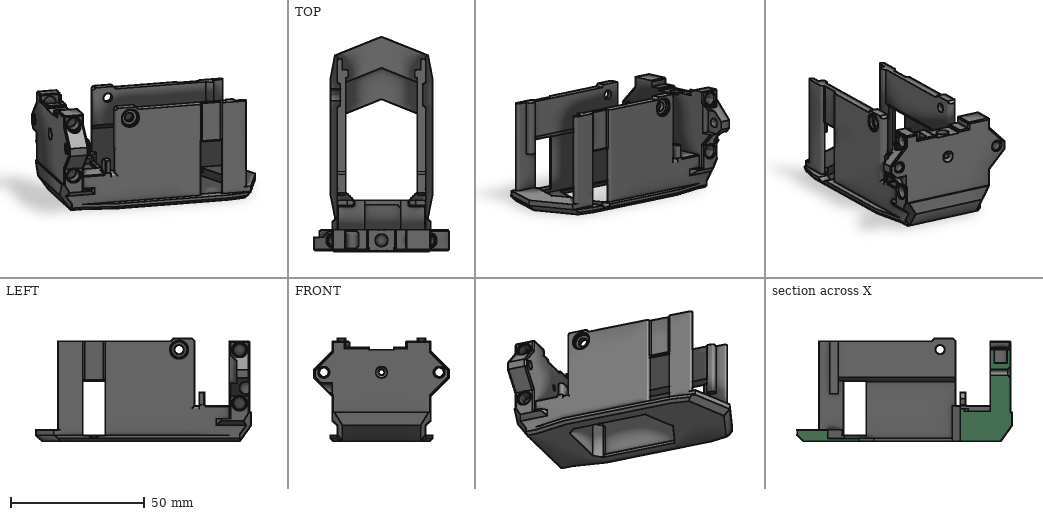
import cadquery as cq
import math

LENGTH = 80.81
TOTAL_HEIGHT = 38.63
WIDTH = 50.84
WALL_TOP = 37.63
MARGIN = 5.0
PICK_MARGIN = 0.1

FLOOR_THICKNESS = 2.26
FLOOR_HALF_WIDTH = 19.15
TAPER_FRONT_Y = 21.3
TAPER_BACK_Y = 65.3
TAPER_SLOPE = 0.198
FLOOR_FRONT_Y = 6.0
BACK_CORNER_X = 17.5
CHEVRON_SLOPE = 0.4
CHEVRON_STEP = 11.75
CHEVRON_TOP = 4.25
SIDE_BEVEL = 1.1
OPENING_HALF_WIDTH = 13.33
GROOVE_DIAMETER = 6.09
GROOVE_DEPTH = 0.95
GROOVE_Y = 59.0
INNER_FLOOR_TOP = 1.1

WALL_OUTER_X = 16.6
WALL_INNER_X = OPENING_HALF_WIDTH
END_POST_INNER_X = 14.65
WALL_LOWER_INNER_X = 15.1
WALL_STEP_Z = 24.1
WALL_FRONT_Y = 21.25
WALL_BACK_Y = 72.55
WALL_END_RADIUS = 1.05
END_POST_RADIUS = 0.95
RIB_INNER_X = 12.4
RIB_FRONT_Y = 65.35
RIB_BACK_Y = 68.45
RIB_BOTTOM_Z = 17.9
RIB_RADIUS = 0.9
WINDOW_FRONT_Y = 54.8
WINDOW_BACK_Y = 63.2
WINDOW_TOP_Z = 22.4
RECESS_DEPTH = 1.15
RECESS_EDGE_RADIUS = 0.9
FILLET_SLACK = 0.01
RECESS_CORNER_RUN = 0.75
WINDOW_LIP_CHAMFER = 0.65
EAR_FRONT_Y = 22.25
EAR_BACK_Y = 29.15
SCREW_Y = 27.05
SCREW_Z = 34.4
SCREW_DIAMETER = 3.4
SCREW_HEAD_DIAMETER = 6.0
SCREW_HEAD_DEPTH = 1.5
SCREW_HEAD_CHAMFER = 0.45

BASE_TOP = 13.3
BASE_BACK_Y = 19.5
BASE_EDGE_CHAMFER = 0.4
POST_TOP = 18.4
POST_FRONT_Y = 17.45
POST_INNER_X = 10.4
POST_RAMP_X = 12.9
POST_RADIUS = 1.0
GUSSET_REACH = 2.9
BASE_RECESS_LEFT_X = -6.24
BASE_RECESS_RIGHT_X = 7.3
BASE_RECESS_STEP_Y = 17.8
BASE_RECESS_STEP = 1.0
BASE_RECESS_CORNER = 1.4

PLATE_FRONT_Y = 0.55
PLATE_BACK_Y = 8.3
PLATE_HALF_WIDTH = 18.55
PLATE_EDGE_CHAMFER = 0.5
PLATE_BACK_CHAMFER = 0.6
PLATE_TOP_CHAMFER = 0.45
WING_CENTRE_Z = 25.35
WING_TIP_HALF_HEIGHT = 1.5
WING_REACH = WIDTH / 2 - PLATE_HALF_WIDTH
NOTCH_FLOOR_Z = 35.3
NOTCH_LEFT_X = -13.4
NOTCH_RIGHT_X = 9.1
CHANNEL_FLOOR_Z = 34.4
CHANNEL_HALF_WIDTH = 5.05
CHANNEL_EDGE_CHAMFER = 0.45
CHANNEL_MOUTH_HALF_WIDTH = 4.6
CHANNEL_MOUTH_Y = 1.5

WING_HOLE_X = 21.63
PLATE_HOLE_Z = 25.9
WING_HOLE_DIAMETER = 3.4
WING_HOLE_CHAMFER = 0.45
CENTRE_HOLE_DIAMETER = 2.09
CENTRE_SINK_DIAMETER = 4.3

MAGNET_DIAMETER = 4.7
MAGNET_Y = 4.35
MAGNET_DEPTH = 5.0
MAGNET_CHAMFER = 0.5
MAGNET_HEIGHTS = (14.3, 34.3)
WING_NOTCH_Y = 2.0
WING_NOTCH_Z = 20.05

RELIEF_Y = 5.45
RELIEF_FLOOR_Z = 21.8
RELIEF_TOP_Z = 30.2
WELL_LEFT_X = -13.4
WELL_RIGHT_X = -8.6
WELL_FRONT_Y = 1.4
WELL_BACK_Y = 7.8
WELL_FLOOR_Z = 30.5
WELL_CORNER_CHAMFER = 0.8
RIM_RIGHT_X = -12.0
RIM_TOP_Z = 37.2

NOSE_TOP = 10.87
NOSE_KNEE_Z = 5.95
NOSE_TOE_Y = 4.25
NOSE_TOP_CUT = 0.9
NOSE_KNEE_CUT = 3.85
BRACKET_RAMP_TOP_Z = 7.75
BRACKET_TOP_Z = 8.4
BRACKET_BACK_Y = 13.15
BRACKET_OVERLAP = 1.0


def box(x_range, y_range, z_range):
    """Axis-aligned box between the given limits."""
    size = [limits[1] - limits[0] for limits in (x_range, y_range, z_range)]
    corner = (x_range[0], y_range[0], z_range[0])
    return cq.Workplane("XY").box(*size, centered=False).translate(corner)


def plan_prism(points, bottom, top):
    """Plan outline extruded between two heights."""
    return cq.Workplane("XY").workplane(offset=bottom).polyline(points).close().extrude(top - bottom)


def front_prism(points, front, back):
    """Outline in X and Z extruded from the front station to the back station."""
    return cq.Workplane("XZ", origin=(0, front, 0)).polyline(points).close().extrude(front - back)


def side_prism(points, left, right):
    """Outline in Y and Z extruded from left to right."""
    return cq.Workplane("YZ", origin=(left, 0, 0)).polyline(points).close().extrude(right - left)


def mirrored(points):
    """Outline closed by the mirror image of its right half."""
    return points + [(-x, other) for x, other in reversed(points) if x != 0]


def both_sides(shape):
    """The shape together with its mirror image across X = 0."""
    return shape.union(shape.mirror("YZ"))


def cylinder(start, direction, diameter, length):
    """Cylinder from a start point along a direction."""
    solid = cq.Solid.makeCylinder(diameter / 2, length, cq.Vector(*start), cq.Vector(*direction))
    return cq.Workplane(obj=solid)


def cone(start, direction, start_diameter, end_diameter):
    """45 degree cone narrowing from the start point along a direction."""
    depth = (start_diameter - end_diameter) / 2
    solid = cq.Solid.makeCone(
        start_diameter / 2, end_diameter / 2, depth, cq.Vector(*start), cq.Vector(*direction)
    )
    return cq.Workplane(obj=solid)


def underside_bevel(start, end, leg):
    """45 degree cutter along a bottom edge; the part lies to the left of start -> end."""
    run = (end[0] - start[0], end[1] - start[1])
    length = math.hypot(*run)
    direction = (run[0] / length, run[1] / length, 0)
    outward = (direction[1], -direction[0], 0)
    origin = (start[0] - MARGIN * direction[0], start[1] - MARGIN * direction[1], 0)
    plane = cq.Plane(origin=origin, xDir=outward, normal=direction)
    up = 1 if plane.yDir.z > 0 else -1
    outline = [(-leg - MARGIN, -up * MARGIN), (MARGIN, up * (leg + MARGIN)), (MARGIN, -up * MARGIN)]
    return cq.Workplane(plane).polyline(outline).close().extrude(length + 2 * MARGIN)


def chevron_band(front_apex, back_apex, half_width):
    """Plan outline of a band between two parallel chevrons."""
    drop = CHEVRON_SLOPE * half_width
    return [
        (0, back_apex),
        (half_width, back_apex - drop),
        (half_width, front_apex - drop),
        (0, front_apex),
        (-half_width, front_apex - drop),
        (-half_width, back_apex - drop),
    ]


def make_floor():
    """Tray floor with a pointed back, bevelled underside and raised chevron."""
    front_half = FLOOR_HALF_WIDTH - TAPER_SLOPE * (TAPER_FRONT_Y - FLOOR_FRONT_Y)
    back_corner = (BACK_CORNER_X, LENGTH - CHEVRON_SLOPE * BACK_CORNER_X)
    right_side = [
        (front_half, FLOOR_FRONT_Y),
        (FLOOR_HALF_WIDTH, TAPER_FRONT_Y),
        (FLOOR_HALF_WIDTH, TAPER_BACK_Y),
        back_corner,
        (0, LENGTH),
    ]
    floor = plan_prism(mirrored(right_side), 0, FLOOR_THICKNESS)
    step_apex = LENGTH - CHEVRON_STEP
    front_apex = step_apex - CHEVRON_STEP
    raised = chevron_band(step_apex, LENGTH, WALL_OUTER_X)
    floor = floor.union(plan_prism(raised, FLOOR_THICKNESS, CHEVRON_TOP))

    for start, end in zip(right_side, right_side[1:]):
        leg = FLOOR_THICKNESS if end[0] == 0 else SIDE_BEVEL
        floor = floor.cut(both_sides(underside_bevel(start, end, leg)))

    opening = [
        (OPENING_HALF_WIDTH, BASE_BACK_Y),
        (OPENING_HALF_WIDTH, front_apex - CHEVRON_SLOPE * OPENING_HALF_WIDTH),
        (0, front_apex),
    ]
    floor = floor.cut(plan_prism(mirrored(opening), -MARGIN, TOTAL_HEIGHT))

    sunken = [
        (WALL_LOWER_INNER_X, BASE_BACK_Y),
        (WALL_LOWER_INNER_X, step_apex - CHEVRON_SLOPE * WALL_LOWER_INNER_X),
        (0, step_apex),
    ]
    floor = floor.cut(plan_prism(mirrored(sunken), INNER_FLOOR_TOP, FLOOR_THICKNESS))
    sill_y = (WINDOW_FRONT_Y, WINDOW_BACK_Y + RECESS_EDGE_RADIUS)
    sill = box((WALL_INNER_X, WIDTH), sill_y, (FLOOR_THICKNESS, TOTAL_HEIGHT))
    floor = floor.cut(both_sides(sill))

    groove_z = FLOOR_THICKNESS - GROOVE_DEPTH + GROOVE_DIAMETER / 2
    groove_start = (-WIDTH / 2, GROOVE_Y, groove_z)
    groove = cylinder(groove_start, (1, 0, 0), GROOVE_DIAMETER, WIDTH / 2)
    return floor.cut(groove)


def make_right_wall():
    """Right side wall with its end post, rib, recess, window, ear and screw hole."""
    upper = box((WALL_INNER_X, WALL_OUTER_X), (WALL_FRONT_Y, RIB_BACK_Y), (FLOOR_THICKNESS, TOTAL_HEIGHT))
    lower_inset = WALL_LOWER_INNER_X - WALL_INNER_X
    relief = [
        (WALL_INNER_X - MARGIN, 0),
        (WALL_LOWER_INNER_X, 0),
        (WALL_LOWER_INNER_X, WALL_STEP_Z - lower_inset),
        (WALL_INNER_X, WALL_STEP_Z),
        (WALL_INNER_X - MARGIN, WALL_STEP_Z),
    ]
    upper = upper.edges("|Z and <Y").fillet(WALL_END_RADIUS)
    upper = upper.cut(front_prism(relief, 0, LENGTH))

    post_y = (WINDOW_BACK_Y, WALL_BACK_Y)
    end_post = box((END_POST_INNER_X, WALL_OUTER_X), post_y, (INNER_FLOOR_TOP, WALL_TOP))
    end_post = end_post.edges("|Z and >Y").fillet(END_POST_RADIUS)
    end_post = end_post.edges("|Z and <Y and <X").fillet(END_POST_RADIUS)
    rib = box((RIB_INNER_X, END_POST_INNER_X), (RIB_FRONT_Y, RIB_BACK_Y), (RIB_BOTTOM_Z, WALL_TOP))
    rib = rib.edges("|Z and <X").fillet(RIB_RADIUS)
    wall = upper.union(end_post).union(rib)

    ear_rise = TOTAL_HEIGHT - WALL_TOP
    skyline = [
        (WALL_FRONT_Y, 0),
        (WALL_FRONT_Y, WALL_TOP),
        (EAR_FRONT_Y, TOTAL_HEIGHT),
        (EAR_BACK_Y, TOTAL_HEIGHT),
        (EAR_BACK_Y + ear_rise, WALL_TOP),
        (WALL_BACK_Y, WALL_TOP),
        (WALL_BACK_Y, 0),
    ]
    wall = wall.intersect(side_prism(skyline, 0, WIDTH))

    recess_x = WALL_OUTER_X - RECESS_DEPTH
    recess_y = (WINDOW_FRONT_Y, WINDOW_BACK_Y)
    step_x = WALL_OUTER_X - RECESS_EDGE_RADIUS
    recess = [
        (WIDTH, WINDOW_FRONT_Y),
        (step_x, WINDOW_FRONT_Y),
        (recess_x, WINDOW_FRONT_Y + RECESS_CORNER_RUN),
        (recess_x, WINDOW_BACK_Y - RECESS_CORNER_RUN),
        (step_x, WINDOW_BACK_Y),
        (WIDTH, WINDOW_BACK_Y),
    ]
    wall = wall.cut(plan_prism(recess, FLOOR_THICKNESS, TOTAL_HEIGHT))
    for station in recess_y:
        corner = cq.selectors.BoxSelector(
            (WALL_OUTER_X - PICK_MARGIN, station - PICK_MARGIN, FLOOR_THICKNESS),
            (WALL_OUTER_X + PICK_MARGIN, station + PICK_MARGIN, TOTAL_HEIGHT),
        )
        wall = wall.edges(corner).edges("|Z").fillet(RECESS_EDGE_RADIUS - FILLET_SLACK)
    window = box((0, WIDTH), recess_y, (FLOOR_THICKNESS, WINDOW_TOP_Z))
    lip = [
        (recess_x - WINDOW_LIP_CHAMFER, WINDOW_TOP_Z),
        (WALL_OUTER_X, WINDOW_TOP_Z + WINDOW_LIP_CHAMFER + RECESS_DEPTH),
        (WALL_OUTER_X, WINDOW_TOP_Z),
    ]
    wall = wall.cut(window).cut(front_prism(lip, *recess_y))

    inward = (-1, 0, 0)
    head_start = (WALL_OUTER_X, SCREW_Y, SCREW_Z)
    rim_diameter = SCREW_HEAD_DIAMETER + 2 * SCREW_HEAD_CHAMFER
    wall = wall.cut(cylinder(head_start, inward, SCREW_DIAMETER, WALL_OUTER_X))
    wall = wall.cut(cylinder(head_start, inward, SCREW_HEAD_DIAMETER, SCREW_HEAD_DEPTH))
    return wall.cut(cone(head_start, inward, rim_diameter, SCREW_HEAD_DIAMETER))


def make_right_post():
    """Right post on the base with a ramped, rounded inner end, and the gusset behind it."""
    post = box((POST_INNER_X, WALL_OUTER_X), (POST_FRONT_Y, BASE_BACK_Y), (0, POST_TOP))
    post = post.edges("|Z and <X").fillet(POST_RADIUS)
    post = post.edges("|Z and >X and >Y").fillet(WALL_END_RADIUS)
    post = post.edges("|Z and >X and <Y").chamfer(BASE_EDGE_CHAMFER)
    ramp_run = POST_RAMP_X - POST_INNER_X
    ramp = [(POST_RAMP_X, POST_TOP), (POST_INNER_X, POST_TOP - ramp_run), (POST_INNER_X, POST_TOP)]
    post = post.cut(front_prism(ramp, 0, LENGTH))
    gusset_plan = [
        (WALL_INNER_X - GUSSET_REACH, BASE_BACK_Y),
        (WALL_INNER_X, BASE_BACK_Y + GUSSET_REACH),
        (WALL_OUTER_X, BASE_BACK_Y + GUSSET_REACH),
        (WALL_OUTER_X, BASE_BACK_Y),
    ]
    gusset = plan_prism(gusset_plan, 0, BASE_TOP).edges(">X and >Z").fillet(WALL_END_RADIUS)
    foot_block = box(
        (POST_INNER_X - BASE_EDGE_CHAMFER, WALL_OUTER_X),
        (POST_FRONT_Y - BASE_EDGE_CHAMFER, BASE_BACK_Y),
        (BASE_TOP - BASE_EDGE_CHAMFER, BASE_TOP + BASE_EDGE_CHAMFER),
    )
    foot = foot_block.edges("|Z and <X").fillet(POST_RADIUS)
    foot = foot.edges(">Z").edges("<X or <Y").chamfer(BASE_EDGE_CHAMFER - FILLET_SLACK)
    return post.union(gusset).union(foot)


def make_base():
    """Block joining the walls to the nose, with a shallow recess in its top."""
    base = box((-WALL_OUTER_X, WALL_OUTER_X), (NOSE_TOE_Y, BASE_BACK_Y), (0, BASE_TOP))
    base = base.intersect(make_nose_profile(BASE_TOP, BASE_BACK_Y))
    base = base.edges("|Y and >Z").chamfer(BASE_EDGE_CHAMFER)
    recess_x = (BASE_RECESS_LEFT_X, BASE_RECESS_RIGHT_X)
    step_z = BASE_TOP - BASE_RECESS_STEP
    base = base.cut(box(recess_x, (PLATE_BACK_Y, BASE_BACK_Y), (step_z, BASE_TOP)))
    deep = [
        (BASE_RECESS_LEFT_X, PLATE_BACK_Y),
        (BASE_RECESS_RIGHT_X, PLATE_BACK_Y),
        (BASE_RECESS_RIGHT_X, BASE_RECESS_STEP_Y - BASE_RECESS_CORNER),
        (BASE_RECESS_RIGHT_X - BASE_RECESS_CORNER, BASE_RECESS_STEP_Y),
        (BASE_RECESS_LEFT_X, BASE_RECESS_STEP_Y),
    ]
    return base.cut(plan_prism(deep, step_z - BASE_RECESS_STEP, step_z))


def make_nose_profile(top, back):
    """Side profile of the nose, full width, up to the given top and back."""
    profile = [(0, top), (0, NOSE_KNEE_Z), (NOSE_TOE_Y, 0), (back, 0), (back, top)]
    return side_prism(profile, -PLATE_HALF_WIDTH, PLATE_HALF_WIDTH)


def corner_triangle(y, z, cut):
    """Plan triangle whose long side crosses the right nose corner at 45 degrees."""
    edge = PLATE_HALF_WIDTH - cut
    outer = PLATE_HALF_WIDTH + MARGIN
    corners = [(edge - MARGIN, y - MARGIN), (outer, y + cut + MARGIN), (outer, y - MARGIN)]
    return cq.Wire.makePolygon([cq.Vector(a, b, z) for a, b in corners], close=True)


def make_nose():
    """Nose under the plate, with slanted corners and narrowed lower sides."""
    half_section = [
        (WALL_OUTER_X, 0),
        (WALL_OUTER_X, NOSE_KNEE_Z),
        (PLATE_HALF_WIDTH, BRACKET_RAMP_TOP_Z),
        (PLATE_HALF_WIDTH, NOSE_TOP),
    ]
    nose = front_prism(mirrored(half_section), 0, PLATE_BACK_Y)
    nose = nose.intersect(make_nose_profile(NOSE_TOP, PLATE_BACK_Y))
    top = corner_triangle(0, NOSE_TOP, NOSE_TOP_CUT)
    knee = corner_triangle(0, NOSE_KNEE_Z, NOSE_KNEE_CUT)
    toe = corner_triangle(NOSE_TOE_Y, 0, NOSE_KNEE_CUT)
    for upper, lower in ((top, knee), (knee, toe)):
        corner_cut = cq.Workplane(obj=cq.Solid.makeLoft([upper, lower], True))
        nose = nose.cut(both_sides(corner_cut))
    for side in ("<X", ">X"):
        nose = nose.edges(side).edges(">Y").edges("|Z").chamfer(PLATE_BACK_CHAMFER)
    return nose


def make_right_bracket():
    """Right bracket that carries the plate's full width back along the base."""
    section = [
        (0, NOSE_KNEE_Z),
        (WALL_OUTER_X, NOSE_KNEE_Z),
        (PLATE_HALF_WIDTH, BRACKET_RAMP_TOP_Z),
        (PLATE_HALF_WIDTH, BRACKET_TOP_Z),
        (0, BRACKET_TOP_Z),
    ]
    overhang = PLATE_HALF_WIDTH - WALL_OUTER_X
    plan = [
        (0, PLATE_BACK_Y - BRACKET_OVERLAP),
        (PLATE_HALF_WIDTH, PLATE_BACK_Y - BRACKET_OVERLAP),
        (PLATE_HALF_WIDTH, BRACKET_BACK_Y - overhang),
        (WALL_OUTER_X, BRACKET_BACK_Y),
        (0, BRACKET_BACK_Y),
    ]
    return front_prism(section, 0, LENGTH).intersect(plan_prism(plan, 0, BASE_TOP))


def make_plate_blank():
    """Winged front plate with its notched top and bevelled rims."""
    wing_root = WING_REACH + WING_TIP_HALF_HEIGHT
    right_side = [
        (PLATE_HALF_WIDTH, NOSE_TOP),
        (PLATE_HALF_WIDTH, WING_CENTRE_Z - wing_root),
        (WIDTH / 2, WING_CENTRE_Z - WING_TIP_HALF_HEIGHT),
        (WIDTH / 2, WING_CENTRE_Z + WING_TIP_HALF_HEIGHT),
        (PLATE_HALF_WIDTH, WING_CENTRE_Z + wing_root),
        (PLATE_HALF_WIDTH, WALL_TOP),
    ]
    left_side = [(-x, z) for x, z in reversed(right_side)]
    notch = [
        (NOTCH_RIGHT_X, WALL_TOP),
        (NOTCH_RIGHT_X, NOTCH_FLOOR_Z),
        (NOTCH_LEFT_X, NOTCH_FLOOR_Z),
        (NOTCH_LEFT_X, WALL_TOP),
    ]
    plate = front_prism(right_side + notch + left_side, PLATE_FRONT_Y, PLATE_BACK_Y)
    above_nose = cq.selectors.BoxSelector(
        (-WIDTH, -MARGIN, NOSE_TOP + PICK_MARGIN), (WIDTH, LENGTH, TOTAL_HEIGHT)
    )
    plate = plate.edges("|Y").edges(">Z").chamfer(PLATE_TOP_CHAMFER)
    plate = plate.faces("<Y").edges(above_nose).chamfer(PLATE_EDGE_CHAMFER)
    for side in (-1, 1):
        inner, outer = sorted((side * (PLATE_HALF_WIDTH - PICK_MARGIN), side * WIDTH))
        flank = cq.selectors.BoxSelector((inner, 0, 0), (outer, LENGTH, TOTAL_HEIGHT))
        plate = plate.faces(">Y").edges(flank).chamfer(PLATE_BACK_CHAMFER)
    return plate


def cut_plate_top(part):
    """Centre channel and small left well in the top of the plate."""
    span = (CHANNEL_FLOOR_Z, TOTAL_HEIGHT)
    mouth_x = (-CHANNEL_MOUTH_HALF_WIDTH, CHANNEL_MOUTH_HALF_WIDTH)
    shoulder_z = NOTCH_FLOOR_Z - CHANNEL_EDGE_CHAMFER
    half_section = [
        (0, CHANNEL_FLOOR_Z),
        (CHANNEL_HALF_WIDTH, CHANNEL_FLOOR_Z),
        (CHANNEL_HALF_WIDTH, shoulder_z),
        (CHANNEL_HALF_WIDTH + CHANNEL_EDGE_CHAMFER, NOTCH_FLOOR_Z),
        (0, NOTCH_FLOOR_Z),
    ]
    channel = front_prism(half_section, CHANNEL_MOUTH_Y, PLATE_BACK_Y)
    part = part.cut(both_sides(channel))
    part = part.cut(box(mouth_x, (0, CHANNEL_MOUTH_Y), span))
    well = box(
        (WELL_LEFT_X, WELL_RIGHT_X),
        (WELL_FRONT_Y, WELL_BACK_Y),
        (WELL_FLOOR_Z, TOTAL_HEIGHT),
    )
    part = part.cut(well.edges("|Z and >X").chamfer(WELL_CORNER_CHAMFER))
    rim_x = (NOTCH_LEFT_X, RIM_RIGHT_X)
    return part.union(box(rim_x, (WELL_BACK_Y, PLATE_BACK_Y), (NOTCH_FLOOR_Z, RIM_TOP_Z)))


def cut_plate_holes(part):
    """Front screw holes, magnet holes and the left wing's notch and relief."""
    rearward = (0, 1, 0)
    rim_diameter = WING_HOLE_DIAMETER + 2 * WING_HOLE_CHAMFER
    for x in (-WING_HOLE_X, WING_HOLE_X):
        start = (x, PLATE_FRONT_Y, PLATE_HOLE_Z)
        part = part.cut(cylinder(start, rearward, WING_HOLE_DIAMETER, PLATE_BACK_Y))
        part = part.cut(cone(start, rearward, rim_diameter, WING_HOLE_DIAMETER))
    centre = (0, PLATE_FRONT_Y, PLATE_HOLE_Z)
    part = part.cut(cylinder(centre, rearward, CENTRE_HOLE_DIAMETER, PLATE_BACK_Y))
    part = part.cut(cone(centre, rearward, CENTRE_SINK_DIAMETER, CENTRE_HOLE_DIAMETER))

    top_centre = (0, MAGNET_Y, CHANNEL_FLOOR_Z)
    part = part.cut(cylinder(top_centre, (0, 0, -1), MAGNET_DIAMETER, MAGNET_DEPTH))
    skin_z = WING_CENTRE_Z + WING_TIP_HALF_HEIGHT - MAGNET_CHAMFER
    skin_outline = [
        (PLATE_HALF_WIDTH, skin_z + WING_REACH),
        (WIDTH / 2, skin_z),
        (WIDTH / 2, WALL_TOP),
        (PLATE_HALF_WIDTH, WALL_TOP),
    ]
    wing_skin = front_prism(skin_outline, PLATE_FRONT_Y, PLATE_BACK_Y)
    mouth_diameter = MAGNET_DIAMETER + 2 * MAGNET_CHAMFER
    for side in (-1, 1):
        for z in MAGNET_HEIGHTS:
            start = (side * PLATE_HALF_WIDTH, MAGNET_Y, z)
            part = part.cut(cylinder(start, (-side, 0, 0), MAGNET_DIAMETER, MAGNET_DEPTH))
            part = part.cut(cone(start, (-side, 0, 0), mouth_diameter, MAGNET_DIAMETER))
            part = part.cut(cylinder(start, (side, 0, 0), MAGNET_DIAMETER, WING_REACH))
            rim = cylinder(start, (side, 0, 0), mouth_diameter, WING_REACH)
            part = part.cut(rim.intersect(both_sides(wing_skin)))

    notch_start = (-PLATE_HALF_WIDTH, WING_NOTCH_Y, WING_NOTCH_Z)
    part = part.cut(cylinder(notch_start, (-1, 0, 0), MAGNET_DIAMETER, WING_REACH))
    relief_depth = PLATE_BACK_Y - RELIEF_Y
    relief = [
        (RELIEF_Y, RELIEF_FLOOR_Z),
        (RELIEF_Y, RELIEF_TOP_Z),
        (PLATE_BACK_Y, RELIEF_TOP_Z + relief_depth),
        (PLATE_BACK_Y, RELIEF_FLOOR_Z),
    ]
    return part.cut(side_prism(relief, -WIDTH, -PLATE_HALF_WIDTH))


front = make_base().union(make_nose())
side_bevel = underside_bevel((WALL_OUTER_X, 0), (WALL_OUTER_X, BASE_BACK_Y), SIDE_BEVEL)
front = front.cut(both_sides(side_bevel))
plate = cut_plate_top(make_plate_blank())

body = (
    make_floor()
    .union(front)
    .union(both_sides(make_right_wall()))
    .union(both_sides(make_right_post()))
    .union(both_sides(make_right_bracket()))
    .union(plate)
)
result = cut_plate_holes(body)